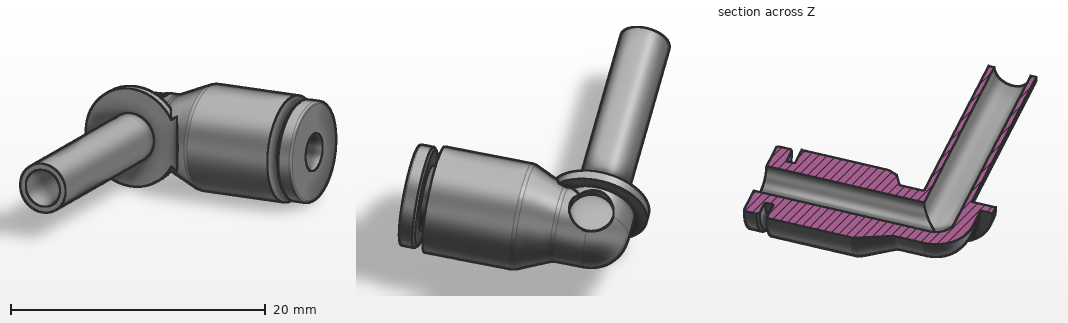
import cadquery as cq
import math


elbow_radius = 3.0
bore_radius = 1.5

socket_radius = 4.25
cone_start_x = 2.53
cone_end_x = 5.43
cone_blend_radius = 0.8
socket_end_x = 12.63

collar_radius = 4.05
collar_neck_radius = 2.6
collar_start_x = 13.3
collar_end_x = 14.62
collar_inner_chamfer = 0.2
collar_outer_round = 0.2

stem_radius = 2.0
stem_end_y = -18.35
flange_radius = 4.0
flange_thickness = 0.8
flange_bottom_y = -2.85
flange_top_y = flange_bottom_y + flange_thickness

relief_angle = 60.0

recess_radius = 1.75
recess_floor_z = 2.34


def cylinder_along_x(radius, start_x, end_x):
    return cq.Workplane("YZ").workplane(offset=start_x).circle(radius).extrude(end_x - start_x)


def cylinder_along_y(radius, top_y, bottom_y):
    return cq.Workplane("XZ").workplane(offset=-top_y).circle(radius).extrude(top_y - bottom_y)


def make_socket():
    """Elbow arm, cone and socket barrel, with the cone blended at both ends."""
    profile = [
        (0, 0),
        (0, elbow_radius),
        (cone_start_x, elbow_radius),
        (cone_end_x, socket_radius),
        (socket_end_x, socket_radius),
        (socket_end_x, 0),
    ]
    socket = cq.Workplane("XY").polyline(profile).close().revolve(360, (0, 0, 0), (1, 0, 0))
    blend_edges = socket.edges(cq.selectors.BoxSelector(
        (cone_start_x - cone_blend_radius, -socket_radius, -socket_radius),
        (cone_end_x + cone_blend_radius, socket_radius, socket_radius),
    )).edges("%CIRCLE")
    return blend_edges.fillet(cone_blend_radius)


def make_flange_relief():
    """Wedge below the flange face, closed towards +X by a sloping plane."""
    depth = socket_radius + flange_bottom_y
    slope_run = depth / math.tan(math.radians(relief_angle))
    outline = [
        (-flange_radius, flange_bottom_y),
        (flange_radius, flange_bottom_y),
        (flange_radius + slope_run, -socket_radius),
        (-flange_radius, -socket_radius),
    ]
    return cq.Workplane("XY").polyline(outline).close().extrude(socket_radius, both=True)


def make_collar():
    """Neck and release collar, chamfered towards the socket and rounded at the open end."""
    neck = cylinder_along_x(collar_neck_radius, socket_end_x, collar_start_x)
    collar = cylinder_along_x(collar_radius, collar_start_x, collar_end_x)
    collar = collar.faces("<X").chamfer(collar_inner_chamfer)
    collar = collar.faces(">X").edges().fillet(collar_outer_round)
    return neck.union(collar)


def make_stem():
    flange = cylinder_along_y(flange_radius, flange_top_y, flange_bottom_y)
    return flange.union(cylinder_along_y(stem_radius, flange_bottom_y, stem_end_y))


def make_recess():
    recess_height = elbow_radius - recess_floor_z
    return cq.Workplane("XY").workplane(offset=recess_floor_z).circle(recess_radius).extrude(recess_height)


def make_bore():
    """Flow passage through both arms, with a ball-shaped corner."""
    corner = cq.Workplane("XY").sphere(bore_radius)
    socket_bore = cylinder_along_x(bore_radius, 0, collar_end_x)
    stem_bore = cylinder_along_y(bore_radius, 0, stem_end_y)
    return corner.union(socket_bore).union(stem_bore)


elbow_corner = cq.Workplane("XY").sphere(elbow_radius)
stem_arm = cylinder_along_y(elbow_radius, 0, flange_top_y)

body = make_socket().cut(make_flange_relief())
body = body.union(elbow_corner).union(stem_arm)
body = body.cut(make_recess())
body = body.union(make_stem()).union(make_collar())

result = body.cut(make_bore())